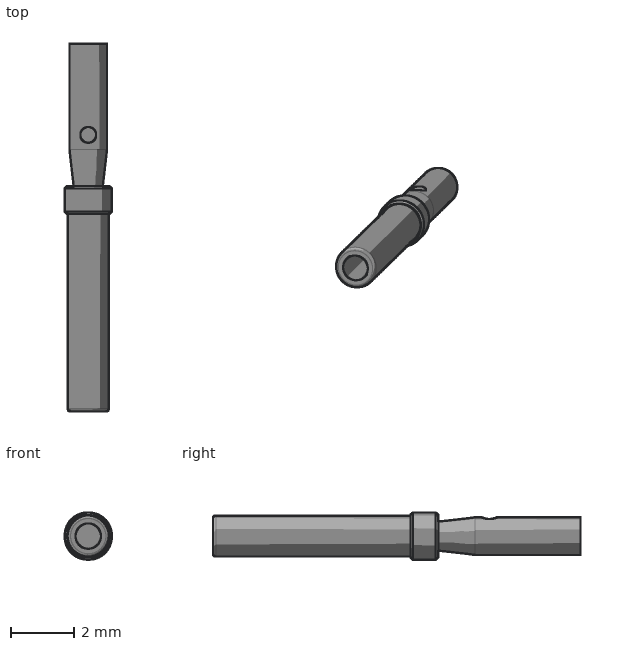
import cadquery as cq

total_length = 11.63
barrel_length = 3.34
taper_length = 1.16
collar_length = 0.88

socket_diameter = 1.3
collar_diameter = 1.5
neck_diameter = 0.93
barrel_diameter = 1.2

socket_rounding = 0.09
collar_chamfer = 0.08

socket_bore_diameter = 0.8
socket_bore_depth = 5.23
wire_bore_diameter = 0.9
wire_bore_depth = barrel_length
inspection_hole_diameter = 0.5
inspection_hole_from_rear = 2.88

taper_rear = total_length - barrel_length
collar_rear = taper_rear - taper_length
collar_front = collar_rear - collar_length


def cylinder(diameter, start, length):
    """Solid cylinder on the Y axis, running from start towards +Y."""
    plane = cq.Workplane("XZ", origin=(0, start, 0))
    return plane.circle(diameter / 2).extrude(-length)


def tapered_neck():
    """Cone widening from the collar to the crimp barrel."""
    profile = (
        cq.Workplane("XY")
        .moveTo(0, collar_rear)
        .lineTo(neck_diameter / 2, collar_rear)
        .lineTo(barrel_diameter / 2, taper_rear)
        .lineTo(0, taper_rear)
        .close()
    )
    return profile.revolve(360, (0, 0, 0), (0, 1, 0))


socket = cylinder(socket_diameter, 0, collar_front).faces("<Y").edges().fillet(socket_rounding)
collar = cylinder(collar_diameter, collar_front, collar_length).faces("<Y or >Y").edges().chamfer(collar_chamfer)
barrel = cylinder(barrel_diameter, taper_rear, barrel_length)
body = socket.union(collar).union(tapered_neck()).union(barrel)

socket_bore = cylinder(socket_bore_diameter, 0, socket_bore_depth)
wire_bore = cylinder(wire_bore_diameter, total_length - wire_bore_depth, wire_bore_depth)

inspection_hole = (
    cq.Workplane("XY")
    .center(0, total_length - inspection_hole_from_rear)
    .circle(inspection_hole_diameter / 2)
    .extrude(barrel_diameter)
)

result = body.cut(socket_bore).cut(wire_bore).cut(inspection_hole)